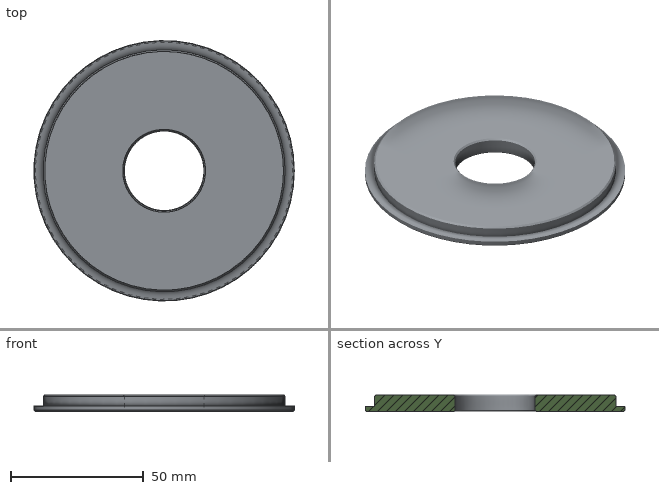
import cadquery as cq

flange_diameter = 98.0
disc_diameter = 91.0
bore_diameter = 30.0
total_height = 6.4
flange_height = 2.2

edge_chamfer = 0.6

flange = cq.Workplane("XY").circle(flange_diameter / 2).extrude(flange_height)

disc = (
    cq.Workplane("XY")
    .workplane(offset=flange_height)
    .circle(disc_diameter / 2)
    .extrude(total_height - flange_height)
)

bore = cq.Workplane("XY").circle(bore_diameter / 2).extrude(total_height)
body = flange.union(disc).cut(bore)

result = body.faces("<Z or >Z").edges().chamfer(edge_chamfer)